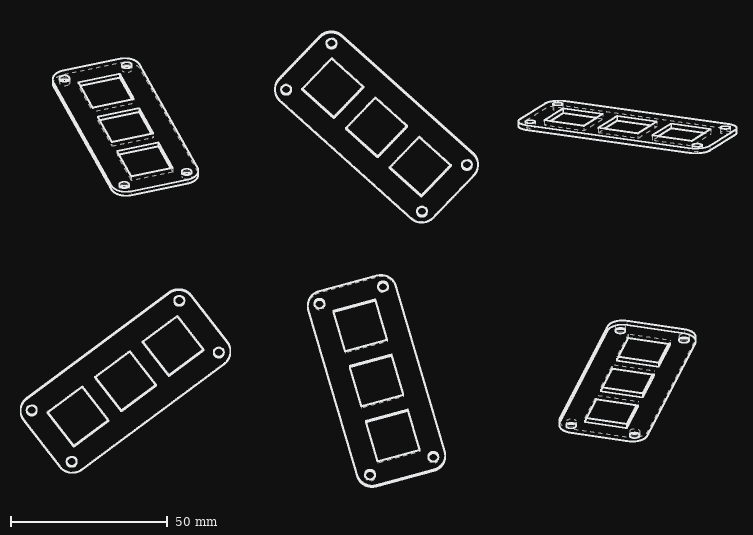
import cadquery as cq

length = 67.15
width = 29.1
thickness = 1.6
corner_radius = 5.0

window_size = 14.0
window_pitch = 19.1
window_count = 3

hole_diameter = 3.2
hole_x = 29.6
hole_y = 10.55
front_left_inset = 0.2
hole_centers = [
    (-hole_x, hole_y),
    (hole_x, hole_y),
    (hole_x, -hole_y),
    (-hole_x + front_left_inset, -hole_y),
]

plate = cq.Workplane("XY").box(length, width, thickness).edges("|Z").fillet(corner_radius)

windows = (
    cq.Workplane("XY")
    .rarray(window_pitch, window_pitch, window_count, 1)
    .box(window_size, window_size, thickness)
)

screw_holes = (
    cq.Workplane("XY")
    .pushPoints(hole_centers)
    .circle(hole_diameter / 2)
    .extrude(thickness, both=True)
)

result = plate.cut(windows).cut(screw_holes)